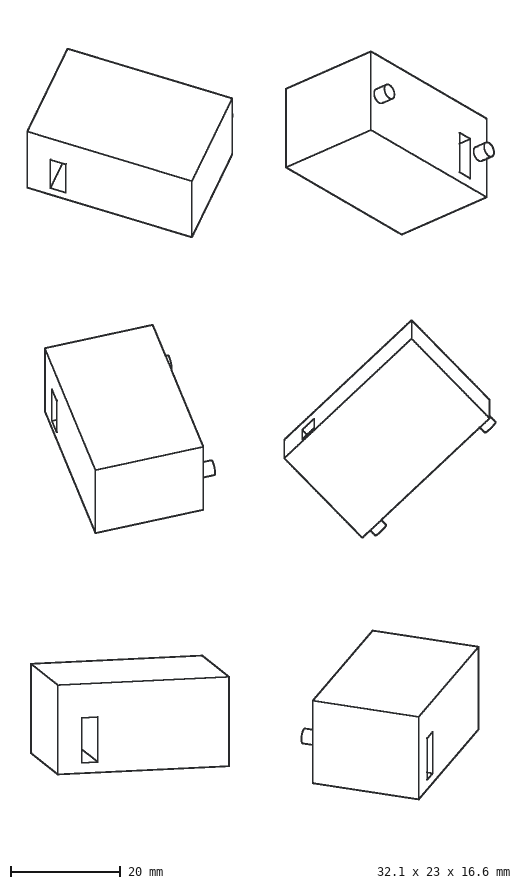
import cadquery as cq

body_length = 32.1
body_depth = 20.5
body_height = 16.6

slot_width = 3.0
slot_height = 8.35
slot_left = 4.53
slot_bottom = 1.95

peg_diameter = 2.8
peg_length = 2.5
peg_end_distance = 2.25
peg_center_height = 8.12


def make_body():
    return cq.Workplane("XY").box(body_length, body_depth, body_height, centered=False)


def make_slot():
    slot = cq.Workplane("XY").box(slot_width, body_depth, slot_height, centered=False)
    return slot.translate((slot_left, 0, slot_bottom))


def make_peg(center_x):
    back_face = cq.Workplane("XZ", origin=(center_x, body_depth, peg_center_height))
    return back_face.circle(peg_diameter / 2).extrude(-peg_length)


result = make_body().cut(make_slot())
for peg_x in (peg_end_distance, body_length - peg_end_distance):
    result = result.union(make_peg(peg_x))